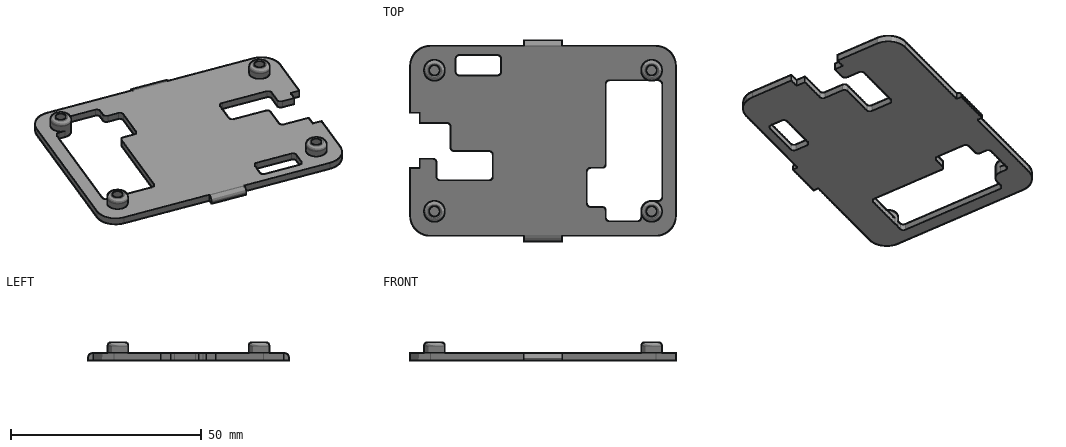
import cadquery as cq

length = 70.0
width = 50.05
thickness = 2.0
corner_radius = 5.4
cutout_radius = 1.0

total_height = 4.8
boss_diameter = 5.5
boss_radius = boss_diameter / 2
boss_hole_diameter = 2.7
boss_edge_radius = 1.0
boss_x = 28.55
boss_y = 18.55

tab_length = 10.0
tab_reach = 1.5

small_window_left, small_window_right = -22.95, -11.05
small_window_bottom, small_window_top = 17.2, 22.55

window_left = 16.5
window_right = boss_x + boss_radius
window_top = 15.9
window_bottom = -21.15
window_side_left = 11.55
window_side_top, window_side_bottom = -7.15, -17.35
pillar_left = boss_x - boss_radius
pillar_top = -boss_y + boss_radius

mouth_depth = 2.5
mouth_bottom, mouth_top = -7.15, 7.35
neck_half_width = 4.7
neck_right = -24.35
pocket_left, pocket_right = -28.0, -13.2
pocket_bottom, pocket_top = -10.35, -2.7


def prism(points):
    """A plate-thick prism standing on Z = 0."""
    return cq.Workplane("XY").polyline(points).close().extrude(thickness)


def rectangle_prism(left, right, bottom, top):
    return prism([(left, bottom), (right, bottom), (right, top), (left, top)])


def make_plate():
    plate = cq.Workplane("XY").box(length, width, thickness, (True, True, False))
    return plate.edges("|Z").fillet(corner_radius)


def make_tabs():
    """One bar across the plate whose two rounded ends form the tabs."""
    bar = cq.Workplane("XY").box(tab_length, width + 2 * tab_reach, thickness, (True, True, False))
    return bar.faces(">Z").edges("|X").fillet(tab_reach)


def make_large_window():
    cutter = prism([
        (window_left, window_top),
        (window_right, window_top),
        (window_right, pillar_top),
        (pillar_left, pillar_top),
        (pillar_left, window_bottom),
        (window_left, window_bottom),
        (window_left, window_side_bottom),
        (window_side_left, window_side_bottom),
        (window_side_left, window_side_top),
        (window_left, window_side_top),
    ])
    cutter = cutter.edges("|Z").fillet(cutout_radius)
    corner = rectangle_prism(pillar_left, boss_x, -boss_y, pillar_top)
    pillar = cq.Workplane("XY").center(boss_x, -boss_y).circle(boss_radius).extrude(thickness)
    return cutter.union(corner.cut(pillar))


def make_notch():
    mouth_right = mouth_depth - length / 2
    mouth = rectangle_prism(-length / 2, mouth_right, mouth_bottom, mouth_top)
    inner = prism([
        (mouth_right, neck_half_width),
        (neck_right, neck_half_width),
        (neck_right, pocket_top),
        (pocket_right, pocket_top),
        (pocket_right, pocket_bottom),
        (pocket_left, pocket_bottom),
        (pocket_left, -neck_half_width),
        (mouth_right, -neck_half_width),
    ])
    rounded_edges = inner.edges("|Z").edges(cq.selectors.BoxSelector(
        (mouth_right + cutout_radius, -width, -thickness),
        (length, width, total_height),
    ))
    return mouth.union(rounded_edges.fillet(cutout_radius))


def make_boss(x, y):
    boss = cq.Workplane("XY").center(x, y).circle(boss_radius).extrude(total_height)
    boss = boss.faces(">Z").edges().fillet(boss_edge_radius)
    hole = cq.Workplane("XY", origin=(x, y, thickness)).circle(boss_hole_diameter / 2)
    return boss.cut(hole.extrude(total_height - thickness))


small_window = rectangle_prism(small_window_left, small_window_right, small_window_bottom, small_window_top)
small_window = small_window.edges("|Z").fillet(cutout_radius)

result = make_plate().union(make_tabs())
for cutter in (small_window, make_large_window(), make_notch()):
    result = result.cut(cutter)
for x in (-boss_x, boss_x):
    for y in (-boss_y, boss_y):
        result = result.union(make_boss(x, y))